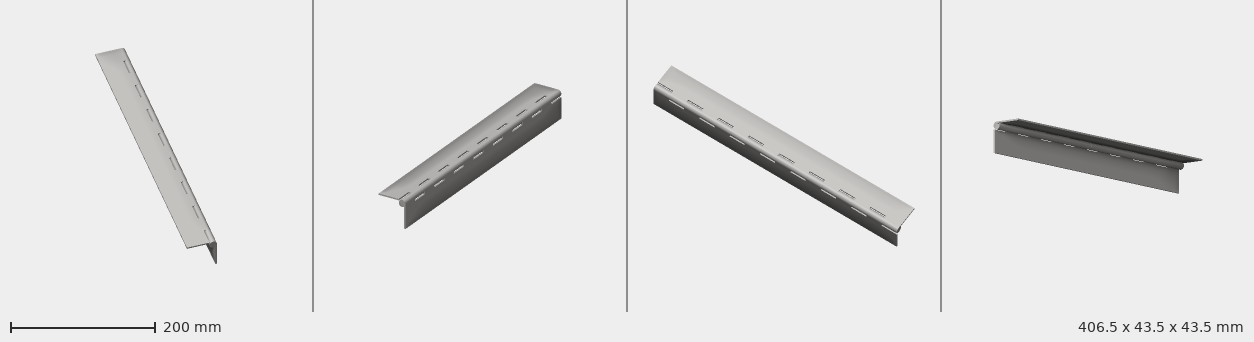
import cadquery as cq
import math

length = 406.5
leaf_width = 43.5
sheet = 2.25
pin_radius = 3.2
knuckle_count = 16
curl_end_angle = 35

barrel_radius = pin_radius + sheet
knuckle_length = length / knuckle_count
free_edge = barrel_radius - leaf_width

left_end = -length / 2


def section(start):
    """Sketch plane across the hinge at X = start, with local axes Y and Z."""
    return cq.Workplane("YZ", origin=(start, 0, 0))


def curl_end_point(radius):
    """Point of the curl's end face at the given radius."""
    angle = math.radians(curl_end_angle)
    return (-radius * math.cos(angle), radius * math.sin(angle))


def curl_middle_point(radius):
    """Point halfway along the curl, which runs from the top over +Y to the end face."""
    angle = -math.radians((curl_end_angle + 90) / 2)
    return (radius * math.cos(angle), radius * math.sin(angle))


def plate():
    """Flat strip between the free edge and the notches that clear the other leaf's knuckles."""
    return (
        section(left_end)
        .moveTo(free_edge, pin_radius)
        .lineTo(-barrel_radius, pin_radius)
        .lineTo(-barrel_radius, barrel_radius)
        .lineTo(free_edge, barrel_radius)
        .close()
        .extrude(length)
    )


def knuckle(start):
    """Tongue that leaves the plate flat at the top of the barrel and curls around the pin."""
    return (
        section(start)
        .moveTo(-barrel_radius, barrel_radius)
        .lineTo(0, barrel_radius)
        .threePointArc(curl_middle_point(barrel_radius), curl_end_point(barrel_radius))
        .lineTo(*curl_end_point(pin_radius))
        .threePointArc(curl_middle_point(pin_radius), (0, pin_radius))
        .lineTo(-barrel_radius, pin_radius)
        .close()
        .extrude(knuckle_length)
    )


def leaf():
    """Horizontal leaf, with knuckles at every second place from the left end."""
    body = plate()
    for index in range(0, knuckle_count, 2):
        body = body.union(knuckle(left_end + index * knuckle_length))
    return body


def pin():
    """Full-length pin that fills the knuckles."""
    return section(left_end).circle(pin_radius).extrude(length)


top_leaf = leaf()
back_leaf = leaf().rotate((0, 0, 0), (0, 1, 1), 180)
hinge_pin = pin()

bodies = [top_leaf, back_leaf, hinge_pin]
result = cq.Compound.makeCompound([body.solids().val() for body in bodies])